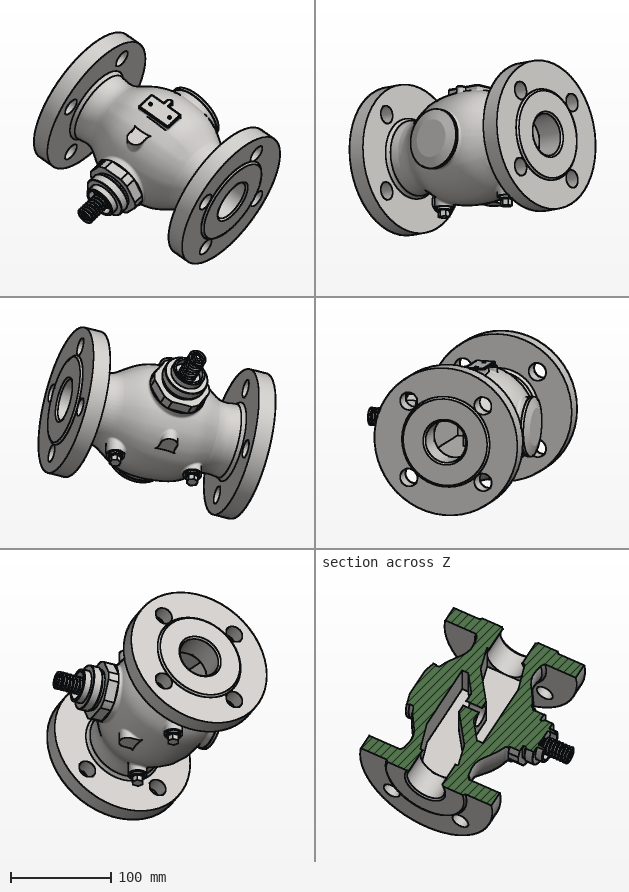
import math
import cadquery as cq

face_to_face = 200.0
raised_face_height = 2.2
raised_face_radius = 46.0
raised_face_chamfer = 2.0
flange_radius = 75.0
flange_thickness = 18.0
bolt_circle_radius = 55.0
bolt_hole_radius = 9.0
bolt_count = 4
bore_radius = 21.2
bore_chamfer = 1.9

body_radius = 57.2
shoulder_x = 30.0
shoulder_radius = 52.6
bulge_end_x = 51.2
waist_x = 64.3
waist_radius = 36.6
waist_arc_radius = 24.5
neck_inner_x = 66.7
neck_outer_x = 75.6
neck_outer_radius = 38.0
root_fillet_x = 77.2
root_fillet_radius = 38.8
flange_root_radius = 40.6

bore_depth = 30.0
web_start_x = 45.0
web_start_y = 14.7
web_half_thickness = 9.1
web_end_x = 12.0
end_wall_start_x = 14.0
end_wall_x = 34.0
end_wall_y = 23.5
chamber_outer_x = 40.0
chamber_outer_y = 30.0
seat_radius = 11.0

collar_radius = 29.3
collar_end = 56.1
collar_fillet = 2.6
hex_end = 67.4
hex_across_flats = 54.9
hex_corner_radius = 29.4
hex_turn = 30.0
groove_radius = 21.0
ring_start = 69.8
ring_radius = 22.7
ring_end = 80.3
ring_rear_chamfer = 1.6
spigot_radius = 16.8
spigot_end = 87.9
recess_radius = 14.2
recess_floor = 80.3
edge_chamfer = 0.5

stem_radius = 3.6
stem_end = 111.3
stem_chamfer = 1.4
spring_outer_radius = 8.8
wire_radius = 1.1
spring_end = 110.7
spring_pitch = 3.65

cover_neck_radius = 29.3
cover_fillet = 2.6
cover_radius = 30.1
cover_start = 56.5
cover_rim_end = 59.6
cover_end = 62.9
cover_top_radius = 19.1

lug_radius = 8.6
lug_y = -32.4
lug_height = 52.5
lug_fillet = 2.0

pad_top = 60.0
pad_length = 39.4
pad_width = 20.8
pad_y = 4.3
pad_corner_radius = 1.6
pad_edge_chamfer = 1.2
pad_fillet = 1.6
tab_radius = 3.6
tab_y = 18.8
pin_hole_y = 4.7
pin_hole_size = 2.6
pin_hole_spacing = 25.0
pin_hole_depth = 1.0

plug_positions_x = (-44.9, 37.8)
plug_boss_radius = 9.2
plug_boss_fillet = 2.0
plug_boss_start = 30.0
plug_boss_end = 55.6
plug_washer_radius = 7.1
plug_washer_end = 59.0
plug_washer_chamfer = 0.8
plug_hex_across_flats = 10.0
plug_end = 65.2

selection_margin = 1.0

half_length = face_to_face / 2
flange_outer_x = half_length - raised_face_height
flange_inner_x = flange_outer_x - flange_thickness
rear_face_plane = cq.Plane(origin=(0, 0, 0), xDir=(1, 0, 0), normal=(0, 1, 0))
front_face_plane = cq.Plane(origin=(0, 0, 0), xDir=(1, 0, 0), normal=(0, -1, 0))


def cylinder(plane, start, end, radius):
    """Cylinder along the plane normal between two distances from the plane."""
    return cq.Workplane(plane).workplane(offset=start).circle(radius).extrude(end - start)


def waist_point(x):
    """Point (x, radius) on the concave waist arc of the +X neck."""
    centre_radius = waist_radius + waist_arc_radius
    return (x, centre_radius - math.sqrt(waist_arc_radius**2 - (x - waist_x) ** 2))


def mirrored(point):
    """The same outline point on the -X neck."""
    return (-point[0], point[1])


def make_body():
    """Barrel with waisted necks, solid inside, reaching to the flanges."""
    flange_root = (flange_inner_x, flange_root_radius)
    root_fillet_middle = (root_fillet_x, root_fillet_radius)
    neck_outer = (neck_outer_x, neck_outer_radius)
    neck_inner = waist_point(neck_inner_x)
    waist = (waist_x, waist_radius)
    bulge_end = waist_point(bulge_end_x)
    bulge_slope = (waist_x - bulge_end_x) / (waist_radius + waist_arc_radius - bulge_end[1])
    shoulder = (shoulder_x, shoulder_radius)
    return (
        cq.Workplane("XY")
        .moveTo(-flange_inner_x, 0)
        .lineTo(*mirrored(flange_root))
        .threePointArc(mirrored(root_fillet_middle), mirrored(neck_outer))
        .lineTo(*mirrored(neck_inner))
        .threePointArc(mirrored(waist), mirrored(bulge_end))
        .spline(
            [mirrored(shoulder), (0, body_radius), shoulder, bulge_end],
            tangents=[(1, bulge_slope), (1, -bulge_slope)],
            includeCurrent=True,
        )
        .threePointArc(waist, neck_inner)
        .lineTo(*neck_outer)
        .threePointArc(root_fillet_middle, flange_root)
        .lineTo(flange_inner_x, 0)
        .close()
        .revolve(360, (0, 0, 0), (1, 0, 0))
    )


def make_flange(side):
    """Bolting flange with a chamfered raised face; side is -1 or +1 along X."""
    plane = cq.Plane(origin=(0, 0, 0), xDir=(0, 1, 0), normal=(side, 0, 0))
    disc = cylinder(plane, flange_inner_x, flange_outer_x, flange_radius)
    raised_face = cylinder(plane, flange_outer_x, half_length, raised_face_radius)
    raised_face = raised_face.faces(">X" if side > 0 else "<X").chamfer(raised_face_chamfer)
    bolt_holes = (
        cq.Workplane(plane)
        .workplane(offset=flange_inner_x)
        .polarArray(bolt_circle_radius, 180 / bolt_count, 360, bolt_count)
        .circle(bolt_hole_radius)
        .extrude(flange_thickness)
    )
    return disc.union(raised_face).cut(bolt_holes)


def make_cover():
    """Neck and bevelled cap of the cover at the rear of the body."""
    neck = cylinder(rear_face_plane, 0, cover_start, cover_neck_radius)
    cap = (
        cq.Workplane("XY")
        .moveTo(0, cover_start)
        .lineTo(cover_radius, cover_start)
        .lineTo(cover_radius, cover_rim_end)
        .lineTo(cover_top_radius, cover_end)
        .lineTo(0, cover_end)
        .close()
        .revolve(360, (0, 0, 0), (0, 1, 0))
    )
    return neck, cap


def make_lug(side):
    """Flat-topped round-nosed lug, standing on the +Z or -Z flank of the body."""
    height = side * lug_height
    nose = cq.Workplane("XY").center(0, lug_y).circle(lug_radius).extrude(height)
    tail = cq.Workplane("XY").center(0, lug_y / 2).rect(2 * lug_radius, -lug_y).extrude(height)
    return nose.union(tail)


def make_pad():
    """Name plate pad with a small round tab on its rear edge."""
    plate = (
        cq.Workplane("XY")
        .center(0, pad_y)
        .rect(pad_length, pad_width)
        .extrude(pad_top)
        .edges("|Z")
        .fillet(pad_corner_radius)
    )
    tab = cq.Workplane("XY").center(0, tab_y).circle(tab_radius).extrude(pad_top)
    tab_root = cq.Workplane("XY").center(0, tab_y / 2).rect(2 * tab_radius, tab_y).extrude(pad_top)
    return plate.union(tab).union(tab_root).faces(">Z").chamfer(pad_edge_chamfer)


def make_pin_holes():
    """Two square pin holes in the name plate pad."""
    return (
        cq.Workplane("XY")
        .workplane(offset=pad_top - pin_hole_depth)
        .pushPoints([(-pin_hole_spacing / 2, pin_hole_y), (pin_hole_spacing / 2, pin_hole_y)])
        .rect(pin_hole_size, pin_hole_size)
        .extrude(pin_hole_depth)
    )


def make_drain_plug(x):
    """Boss, and the washer and hexagon head below it, pointing down from the body."""
    plane = cq.Plane(origin=(x, 0, 0), xDir=(1, 0, 0), normal=(0, 0, -1))
    boss = cylinder(plane, plug_boss_start, plug_boss_end, plug_boss_radius)
    washer = cylinder(plane, plug_boss_end, plug_washer_end, plug_washer_radius)
    washer = washer.faces("<Z").chamfer(plug_washer_chamfer)
    head = (
        cq.Workplane(plane)
        .workplane(offset=plug_washer_end)
        .polygon(6, plug_hex_across_flats, circumscribed=True)
        .extrude(plug_end - plug_washer_end)
    )
    return boss, washer.union(head)


def make_passage():
    """Bores from both ends into two chambers that a seat hole joins across a slanted web."""
    inlet_plane = cq.Plane(origin=(-half_length, 0, 0), xDir=(0, 1, 0), normal=(1, 0, 0))
    inlet = cylinder(inlet_plane, 0, bore_depth, bore_radius)
    mouth = cq.Workplane(
        cq.Solid.makeCone(
            bore_radius + bore_chamfer,
            bore_radius,
            bore_chamfer,
            pnt=cq.Vector(-half_length, 0, 0),
            dir=cq.Vector(1, 0, 0),
        )
    )
    bore_end_x = -half_length + bore_depth
    chamber = (
        cq.Workplane("XY")
        .polyline(
            [
                (bore_end_x, -bore_radius),
                (-web_start_x, -web_start_y),
                (-web_end_x, web_half_thickness),
                (end_wall_start_x, web_half_thickness),
                (end_wall_x, end_wall_y),
                (end_wall_x, chamber_outer_y),
                (-chamber_outer_x, chamber_outer_y),
                (bore_end_x, bore_radius),
            ]
        )
        .close()
        .extrude(bore_radius, both=True)
    )
    half = inlet.union(mouth).union(chamber)
    seat = cylinder(rear_face_plane, -web_half_thickness, web_half_thickness, seat_radius)
    return half.union(half.rotate((0, 0, 0), (0, 0, 1), 180)).union(seat)


def make_bonnet():
    """Hexagon, groove, ring and spigot in front of the collar, with the spring recess."""
    hexagon = (
        cq.Workplane(front_face_plane)
        .workplane(offset=collar_end)
        .transformed(rotate=(0, 0, hex_turn))
        .polygon(6, hex_across_flats, circumscribed=True)
        .extrude(hex_end - collar_end)
    )
    hexagon = hexagon.intersect(cylinder(front_face_plane, collar_end, hex_end, hex_corner_radius))
    groove = cylinder(front_face_plane, hex_end, ring_start, groove_radius)
    ring = cylinder(front_face_plane, ring_start, ring_end, ring_radius)
    ring = ring.faces(">Y").chamfer(ring_rear_chamfer)
    ring = ring.faces("<Y").chamfer(edge_chamfer)
    spigot = cylinder(front_face_plane, ring_end, spigot_end, spigot_radius)
    spigot = spigot.faces("<Y").chamfer(edge_chamfer)
    recess = cylinder(front_face_plane, recess_floor, spigot_end, recess_radius)
    return hexagon.union(groove).union(ring).union(spigot).cut(recess)


def make_stem():
    """Stem rising from the recess floor, with a chamfered tip."""
    stem = cylinder(front_face_plane, recess_floor, stem_end, stem_radius)
    return stem.faces("<Y").chamfer(stem_chamfer)


def make_spring():
    """Return spring around the stem: a helical coil closed by a flat end ring."""
    coil_radius = spring_outer_radius - wire_radius
    ring_y = -(spring_end - wire_radius)
    coil_length = spring_end - wire_radius - recess_floor
    helix = cq.Wire.makeHelix(
        spring_pitch,
        coil_length,
        coil_radius,
        center=cq.Vector(0, ring_y, 0),
        dir=cq.Vector(0, 1, 0),
    )
    start = helix.startPoint()
    wire_plane = cq.Plane(origin=start.toTuple(), xDir=(0, 1, 0), normal=helix.tangentAt(0).toTuple())
    coil = cq.Workplane(wire_plane).circle(wire_radius).sweep(cq.Workplane(helix), isFrenet=True)
    end_ring = cq.Workplane(
        cq.Solid.makeTorus(coil_radius, wire_radius, cq.Vector(0, ring_y, 0), cq.Vector(0, 1, 0))
    )
    return coil.union(end_ring)


def blend(solid, low_corner, high_corner, radius):
    """Round the junction edges that lie wholly inside a box, leaving vertical seams alone."""
    box = cq.selectors.BoxSelector(low_corner, high_corner, boundingbox=True)
    return solid.edges(box).edges("not |Z").fillet(radius)


def add_collar(solid):
    """Add the bonnet collar and round its root."""
    reach = collar_radius + selection_margin
    front_limit = -collar_end + selection_margin
    collar = cylinder(front_face_plane, 0, collar_end, collar_radius)
    return blend(solid.union(collar), (-reach, front_limit, -reach), (reach, 0, reach), collar_fillet)


def add_cover(solid):
    """Add the rear cover neck, round its root and close it with the cap."""
    reach = cover_neck_radius + selection_margin
    rear_limit = cover_start - selection_margin
    neck, cap = make_cover()
    blended = blend(solid.union(neck), (-reach, 0, -reach), (reach, rear_limit, reach), cover_fillet)
    return blended.union(cap)


def add_drain_plug(solid, x):
    """Add one drain plug and round the root of its boss."""
    reach = plug_boss_radius + selection_margin
    bottom_limit = -plug_boss_end + selection_margin
    boss, head = make_drain_plug(x)
    low_corner = (x - reach, -reach, bottom_limit)
    high_corner = (x + reach, reach, 0)
    return blend(solid.union(boss), low_corner, high_corner, plug_boss_fillet).union(head)


def add_lug(solid, side):
    """Add one lug and round its wall into the body, leaving the flat top sharp."""
    reach = lug_radius + selection_margin
    front = lug_y - reach
    top = side * (lug_height + selection_margin)
    below_top = side * (lug_height - selection_margin / 2)
    joined = solid.union(make_lug(side))
    around = cq.selectors.BoxSelector((-reach, front, 0), (reach, 0, top), boundingbox=True)
    flat_top = cq.selectors.BoxSelector((-reach, front, below_top), (reach, 0, top), boundingbox=True)
    return joined.edges(around - flat_top).edges("not |Z").fillet(lug_fillet)


def add_pad(solid):
    """Add the name plate pad, round its root and pierce the pin holes."""
    reach_x = pad_length / 2 + selection_margin
    front = pad_y - pad_width / 2 - selection_margin
    rear = tab_y + tab_radius + selection_margin
    top_limit = pad_top - pad_edge_chamfer - selection_margin / 2
    joined = solid.union(make_pad())
    blended = blend(joined, (-reach_x, front, 0), (reach_x, rear, top_limit), pad_fillet)
    return blended.cut(make_pin_holes())


valve = add_cover(add_collar(make_body()))
for plug_x in plug_positions_x:
    valve = add_drain_plug(valve, plug_x)
for side in (-1, 1):
    valve = add_lug(valve, side)
valve = add_pad(valve)
for side in (-1, 1):
    valve = valve.union(make_flange(side))
valve = valve.union(make_bonnet()).cut(make_passage())
result = valve.union(make_stem()).union(make_spring())